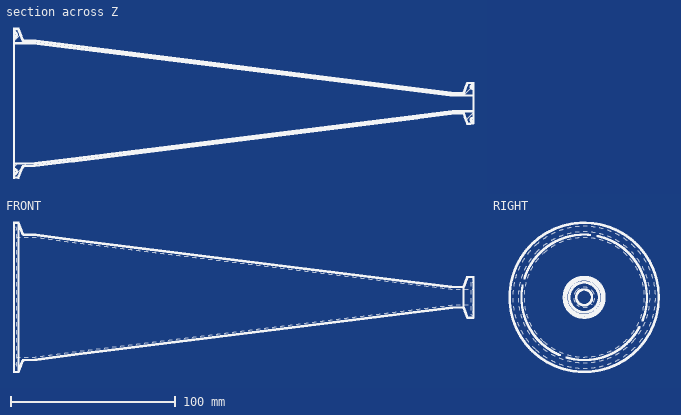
import cadquery as cq

LENGTH = 279.5
FERRULE_LENGTH = 12.5

LARGE_FLANGE_DIAMETER = 90.8
LARGE_TUBE_DIAMETER = 76.3
LARGE_BORE_DIAMETER = 73.0
LARGE_RIM_WIDTH = 2.8
LARGE_FLANGE_WIDTH = 5.5
LARGE_NECK_FILLET = 1.0
LARGE_GROOVE_DIAMETER = 83.3
LARGE_GROOVE_WIDTH = 3.4

SMALL_FLANGE_DIAMETER = 25.0
SMALL_TUBE_DIAMETER = 12.5
SMALL_BORE_DIAMETER = 9.5
SMALL_RIM_WIDTH = 4.0
SMALL_FLANGE_WIDTH = 6.1
SMALL_RIM_FILLET = 0.5
SMALL_GROOVE_DIAMETER = 20.0
SMALL_GROOVE_WIDTH = 1.7

GROOVE_DEPTH = 1.7

SELECTION_TOLERANCE = 0.03


def revolve_about_x(profile):
    """Turn a closed (x, radius) profile around the X axis."""
    return profile.close().revolve(360, (0, 0, 0), (1, 0, 0))


def round_circle(body, x, radius):
    """Fillet the one circular edge of body that is centred on the X axis at x."""
    reach = SELECTION_TOLERANCE
    at_centre = cq.selectors.BoxSelector((x - reach, -reach, -reach), (x + reach, reach, reach))
    return body.edges(at_centre).fillet(radius)


def groove_cutter(face_x, mean_diameter, width):
    """Gasket groove ring with a round bottom, cut into the material from face_x."""
    into = 1 if face_x == 0 else -1
    mean_radius = mean_diameter / 2
    return revolve_about_x(
        cq.Workplane("XY")
        .moveTo(face_x, mean_radius - width / 2)
        .threePointArc(
            (face_x + into * GROOVE_DEPTH, mean_radius),
            (face_x, mean_radius + width / 2),
        )
    )


cone_start = FERRULE_LENGTH
cone_end = LENGTH - FERRULE_LENGTH

outside = revolve_about_x(
    cq.Workplane("XY").polyline([
        (0, 0),
        (0, LARGE_FLANGE_DIAMETER / 2),
        (LARGE_RIM_WIDTH, LARGE_FLANGE_DIAMETER / 2),
        (LARGE_FLANGE_WIDTH, LARGE_TUBE_DIAMETER / 2),
        (cone_start, LARGE_TUBE_DIAMETER / 2),
        (cone_end, SMALL_TUBE_DIAMETER / 2),
        (LENGTH - SMALL_FLANGE_WIDTH, SMALL_TUBE_DIAMETER / 2),
        (LENGTH - SMALL_RIM_WIDTH, SMALL_FLANGE_DIAMETER / 2),
        (LENGTH, SMALL_FLANGE_DIAMETER / 2),
        (LENGTH, 0),
    ])
)

outside = round_circle(outside, LARGE_FLANGE_WIDTH, LARGE_NECK_FILLET)
outside = round_circle(outside, LENGTH - SMALL_RIM_WIDTH, SMALL_RIM_FILLET)
outside = round_circle(outside, LENGTH, SMALL_RIM_FILLET)

bore = revolve_about_x(
    cq.Workplane("XY").polyline([
        (0, 0),
        (0, LARGE_BORE_DIAMETER / 2),
        (cone_start, LARGE_BORE_DIAMETER / 2),
        (cone_end, SMALL_BORE_DIAMETER / 2),
        (LENGTH, SMALL_BORE_DIAMETER / 2),
        (LENGTH, 0),
    ])
)

large_groove = groove_cutter(0, LARGE_GROOVE_DIAMETER, LARGE_GROOVE_WIDTH)
small_groove = groove_cutter(LENGTH, SMALL_GROOVE_DIAMETER, SMALL_GROOVE_WIDTH)

result = outside.cut(bore).cut(large_groove).cut(small_groove)